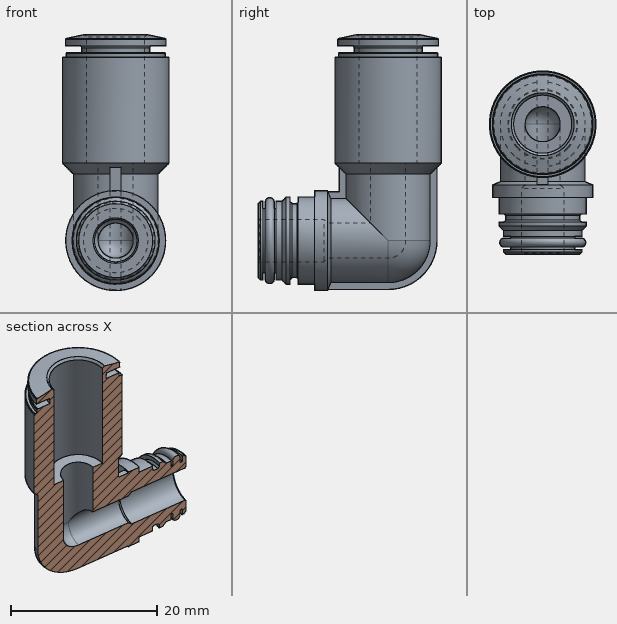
import cadquery as cq
import math


PIPE_RADIUS = 11.6 / 2
FLOW_RADIUS = 4.8 / 2
RIB_WIDTH = 1.5
RIB_REACH = 6.7

SOCKET_RADIUS = 14.6 / 2
SHOULDER_Z = 10.6
SOCKET_TOP_Z = 25.15
SOCKET_EDGE_CHAMFER = 0.12
COLLAR_RADIUS = 13.6 / 2
COLLAR_TOP_Z = 25.75
COLLAR_EDGE_CHAMFER = 0.12

NECK_RADIUS = 9.34 / 2
NECK_FLARE_RADIUS = 0.1
NECK_FLARE_HEIGHT = 0.3
RING_RADIUS = 13.8 / 2
RING_BOTTOM_Z = 26.65
RING_EDGE_Z = 27.55
RING_EDGE_CHAMFER = 0.12
TOP_Z = 28.2
TUBE_RADIUS = 7.94 / 2
TUBE_MOUTH_RADIUS = 8.6 / 2
TUBE_SEAT_Z = SHOULDER_Z

FLANGE_RADIUS = 13.7 / 2
FLANGE_CONE_START = 7.85
FLANGE_START = 8.3
FLANGE_END = 10.05
LAND_RADIUS = 11.95 / 2
LAND_END = 12.3
CLIP_GROOVE_RADIUS = 10.15 / 2
CLIP_GROOVE_END = 13.4
CLIP_INNER_CHAMFER = 0.2
CLIP_OUTER_CHAMFER = 0.28
LIP_END = 13.95
NOSE_RADIUS = 10.8 / 2
SEAL_GROOVE_RADIUS = 8.8 / 2
SEAL_GROOVE_START = 15.35
SEAL_GROOVE_END = 17.15
STEM_END = 17.8
NOSE_CHAMFER = 0.35

SEAL_RADIUS = 11.8 / 2
SEAL_WIDTH = 1.25
SEAL_CENTER = 16.2

INLET_RADIUS = 5.8 / 2
INLET_MOUTH_RADIUS = 6.2 / 2
INLET_DEPTH = 9.5


def revolve_vertical(points):
    """Turn (radius, z) points about the Z axis."""
    return cq.Workplane("XZ").polyline(points).close().revolve(360, (0, 0), (0, 1))


def lay_along_stem(body):
    """Swing a body built upwards on Z so that it points along -Y."""
    return body.rotate((0, 0, 0), (1, 0, 0), 90)


def elbow_pipe(radius, vertical_length, stem_length):
    """Two round legs with a ball-shaped outer corner at the origin."""
    vertical = cq.Workplane("XY").circle(radius).extrude(vertical_length)
    stem = lay_along_stem(cq.Workplane("XY").circle(radius).extrude(stem_length))
    return vertical.union(stem).union(cq.Workplane("XY").sphere(radius))


def socket_body():
    cone_bottom_z = SHOULDER_Z - (SOCKET_RADIUS - PIPE_RADIUS)
    return revolve_vertical([
        (0, cone_bottom_z),
        (PIPE_RADIUS, cone_bottom_z),
        (SOCKET_RADIUS, SHOULDER_Z),
        (SOCKET_RADIUS, SOCKET_TOP_Z - SOCKET_EDGE_CHAMFER),
        (SOCKET_RADIUS - SOCKET_EDGE_CHAMFER, SOCKET_TOP_Z),
        (COLLAR_RADIUS, SOCKET_TOP_Z),
        (COLLAR_RADIUS, COLLAR_TOP_Z - COLLAR_EDGE_CHAMFER),
        (COLLAR_RADIUS - COLLAR_EDGE_CHAMFER, COLLAR_TOP_Z),
        (NECK_RADIUS, COLLAR_TOP_Z),
        (NECK_RADIUS, RING_BOTTOM_Z - NECK_FLARE_HEIGHT),
        (NECK_RADIUS + NECK_FLARE_RADIUS, RING_BOTTOM_Z),
        (RING_RADIUS, RING_BOTTOM_Z),
        (RING_RADIUS, RING_EDGE_Z),
        (RING_RADIUS - RING_EDGE_CHAMFER, RING_EDGE_Z + RING_EDGE_CHAMFER),
        (TUBE_MOUTH_RADIUS, TOP_Z),
        (0, TOP_Z),
    ])


def stem_body():
    profile = [
        (0, FLANGE_CONE_START),
        (PIPE_RADIUS, FLANGE_CONE_START),
        (FLANGE_RADIUS, FLANGE_START),
        (FLANGE_RADIUS, FLANGE_END),
        (LAND_RADIUS, FLANGE_END),
        (LAND_RADIUS, LAND_END),
        (CLIP_GROOVE_RADIUS + CLIP_INNER_CHAMFER, LAND_END),
        (CLIP_GROOVE_RADIUS, LAND_END + CLIP_INNER_CHAMFER),
        (CLIP_GROOVE_RADIUS, CLIP_GROOVE_END - CLIP_OUTER_CHAMFER),
        (CLIP_GROOVE_RADIUS + CLIP_OUTER_CHAMFER, CLIP_GROOVE_END),
        (LAND_RADIUS, CLIP_GROOVE_END),
        (LAND_RADIUS, LIP_END),
        (NOSE_RADIUS, LIP_END + LAND_RADIUS - NOSE_RADIUS),
        (NOSE_RADIUS, SEAL_GROOVE_START),
        (SEAL_GROOVE_RADIUS, SEAL_GROOVE_START),
        (SEAL_GROOVE_RADIUS, SEAL_GROOVE_END),
        (NOSE_RADIUS, SEAL_GROOVE_END),
        (NOSE_RADIUS, STEM_END - NOSE_CHAMFER),
        (NOSE_RADIUS - NOSE_CHAMFER, STEM_END),
        (0, STEM_END),
    ]
    return lay_along_stem(revolve_vertical(profile))


def seal_ring():
    """Ring with a fully rounded rim, seated on the floor of its groove."""
    half_width = SEAL_WIDTH / 2
    bottom = SEAL_CENTER - half_width
    top = SEAL_CENTER + half_width
    ring = (
        cq.Workplane("XZ")
        .moveTo(0, bottom)
        .lineTo(SEAL_RADIUS - half_width, bottom)
        .threePointArc((SEAL_RADIUS, SEAL_CENTER), (SEAL_RADIUS - half_width, top))
        .lineTo(0, top)
        .close()
        .revolve(360, (0, 0), (0, 1))
    )
    return lay_along_stem(ring)


def rib():
    """Flat rib in the plane of both axes, standing proud of the elbow all round."""
    diagonal = RIB_REACH / math.sqrt(2)
    return (
        cq.Workplane("YZ")
        .moveTo(RIB_REACH, SHOULDER_Z)
        .lineTo(RIB_REACH, 0)
        .threePointArc((diagonal, -diagonal), (0, -RIB_REACH))
        .lineTo(-FLANGE_START, -RIB_REACH)
        .lineTo(-FLANGE_START, RIB_REACH)
        .lineTo(-RIB_REACH, RIB_REACH)
        .lineTo(-RIB_REACH, SHOULDER_Z)
        .close()
        .extrude(RIB_WIDTH / 2, both=True)
    )


def tube_bore():
    """Blind seat for the tube, with a chamfered mouth."""
    chamfer = TUBE_MOUTH_RADIUS - TUBE_RADIUS
    return revolve_vertical([
        (0, TUBE_SEAT_Z),
        (TUBE_RADIUS, TUBE_SEAT_Z),
        (TUBE_RADIUS, TOP_Z - chamfer),
        (TUBE_MOUTH_RADIUS, TOP_Z),
        (0, TOP_Z),
    ])


def stem_inlet():
    """Wider bore at the stem end with a chamfered mouth and a conical floor."""
    chamfer = INLET_MOUTH_RADIUS - INLET_RADIUS
    floor = STEM_END - INLET_DEPTH
    inlet = revolve_vertical([
        (0, floor),
        (FLOW_RADIUS, floor),
        (INLET_RADIUS, floor + INLET_RADIUS - FLOW_RADIUS),
        (INLET_RADIUS, STEM_END - chamfer),
        (INLET_MOUTH_RADIUS, STEM_END),
        (0, STEM_END),
    ])
    return lay_along_stem(inlet)


outside = elbow_pipe(PIPE_RADIUS, SHOULDER_Z, FLANGE_START)
outside = outside.union(socket_body()).union(stem_body()).union(seal_ring()).union(rib())

flow_bore = elbow_pipe(FLOW_RADIUS, TUBE_SEAT_Z, STEM_END)

result = outside.cut(flow_bore).cut(tube_bore()).cut(stem_inlet())